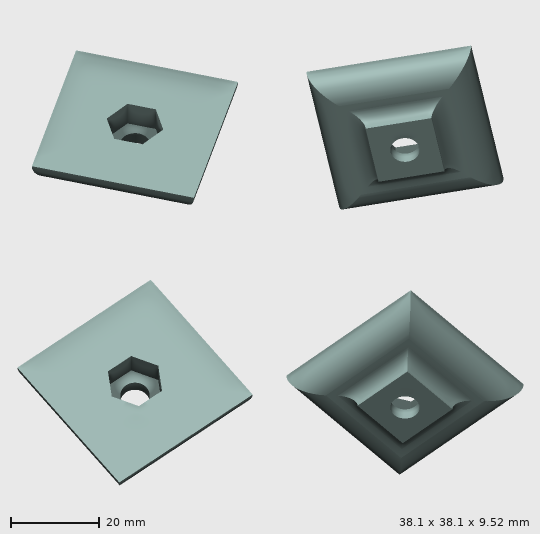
import cadquery as cq
import math

side = 38.1
height = 9.52
edge_radius = 6.35
neck_radius = height - edge_radius
foot_side = 15.25
hex_across_flats = 11.5
hex_depth = edge_radius
hole_diameter = 6.65


def profile_bar(plane):
    """Extrude the side profile through the full width, normal to the plane."""
    half = side / 2
    foot_half = foot_side / 2
    shoulder_z = neck_radius
    diagonal = math.sqrt(0.5)
    edge_mid = half - edge_radius * (1 - diagonal), height - edge_radius * diagonal
    neck_mid = foot_half + neck_radius * (1 - diagonal), neck_radius * diagonal
    return (
        cq.Workplane(plane)
        .moveTo(-foot_half, 0)
        .lineTo(foot_half, 0)
        .threePointArc(neck_mid, (foot_half + neck_radius, shoulder_z))
        .lineTo(half - edge_radius, shoulder_z)
        .threePointArc(edge_mid, (half, height))
        .lineTo(-half, height)
        .threePointArc((-edge_mid[0], edge_mid[1]), (edge_radius - half, shoulder_z))
        .lineTo(-foot_half - neck_radius, shoulder_z)
        .threePointArc((-neck_mid[0], neck_mid[1]), (-foot_half, 0))
        .close()
        .extrude(half, both=True)
    )


def hex_pocket():
    """Nut pocket sunk from the top face, with two corners along X."""
    across_corners = hex_across_flats / math.cos(math.pi / 6)
    return (
        cq.Workplane("XY")
        .workplane(offset=height - hex_depth)
        .polygon(6, across_corners)
        .extrude(hex_depth)
    )


def through_hole():
    return cq.Workplane("XY").circle(hole_diameter / 2).extrude(height)


body = profile_bar("XZ").intersect(profile_bar("YZ"))
result = body.cut(hex_pocket()).cut(through_hole())